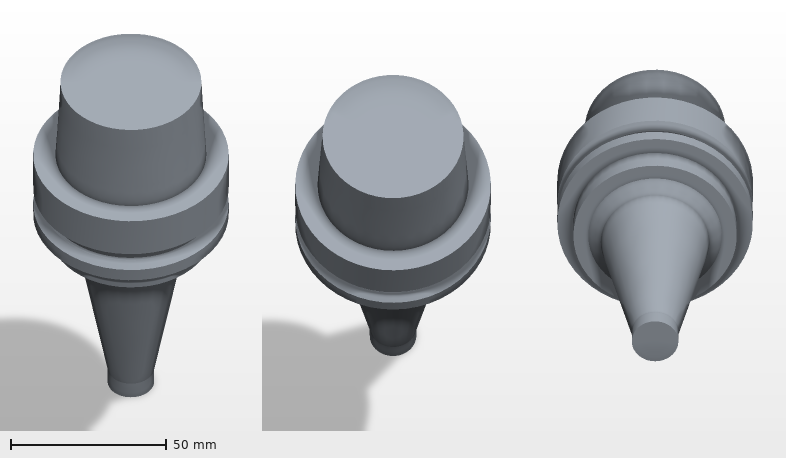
import cadquery as cq

SHANK_TOP = 32.0
FLANGE_BOTTOM = -26.0
COLLAR_BOTTOM = -34.0
NECK_TOP = -38.0
TIP_TOP = -94.0
TIP_BOTTOM = -100.0

SHANK_TOP_DIAMETER = 45.4
SHANK_BASE_DIAMETER = 48.6
FLANGE_DIAMETER = 63.0
COLLAR_DIAMETER = 52.6
NECK_DIAMETER = 35.0
TIP_DIAMETER = 15.0

GROOVE_CENTER = -18.0
GROOVE_MOUTH_WIDTH = 7.0
GROOVE_SLOT_WIDTH = 3.75
GROOVE_FLANK_DIAMETER = 57.4
GROOVE_FLOOR_DIAMETER = 55.0

SHOULDER_HEIGHT = COLLAR_BOTTOM - NECK_TOP
SHOULDER_DIAMETER = NECK_DIAMETER + 2 * SHOULDER_HEIGHT


def cone(top, bottom, top_diameter, bottom_diameter):
    """Solid of revolution about Z with a straight side between two heights."""
    return (
        cq.Workplane("XZ")
        .moveTo(0, bottom)
        .lineTo(bottom_diameter / 2, bottom)
        .lineTo(top_diameter / 2, top)
        .lineTo(0, top)
        .close()
        .revolve(360, (0, 0, 0), (0, 1, 0))
    )


def cylinder(top, bottom, diameter):
    return cone(top, bottom, diameter, diameter)


def groove():
    """Ring to remove from the flange rim."""
    rim_radius = FLANGE_DIAMETER / 2
    flank_radius = GROOVE_FLANK_DIAMETER / 2
    floor_radius = GROOVE_FLOOR_DIAMETER / 2
    mouth_half = GROOVE_MOUTH_WIDTH / 2
    slot_half = GROOVE_SLOT_WIDTH / 2
    return (
        cq.Workplane("XZ")
        .moveTo(rim_radius, GROOVE_CENTER + mouth_half)
        .lineTo(flank_radius, GROOVE_CENTER + slot_half)
        .lineTo(floor_radius, GROOVE_CENTER + slot_half)
        .lineTo(floor_radius, GROOVE_CENTER - slot_half)
        .lineTo(flank_radius, GROOVE_CENTER - slot_half)
        .lineTo(rim_radius, GROOVE_CENTER - mouth_half)
        .close()
        .revolve(360, (0, 0, 0), (0, 1, 0))
    )


shank = cone(SHANK_TOP, 0, SHANK_TOP_DIAMETER, SHANK_BASE_DIAMETER)
flange = cylinder(0, FLANGE_BOTTOM, FLANGE_DIAMETER).cut(groove())
collar = cylinder(FLANGE_BOTTOM, COLLAR_BOTTOM, COLLAR_DIAMETER)
shoulder = cone(COLLAR_BOTTOM, NECK_TOP, SHOULDER_DIAMETER, NECK_DIAMETER)
neck = cone(NECK_TOP, TIP_TOP, NECK_DIAMETER, TIP_DIAMETER)
tip = cylinder(TIP_TOP, TIP_BOTTOM, TIP_DIAMETER)

result = shank.union(flange).union(collar).union(shoulder).union(neck).union(tip)